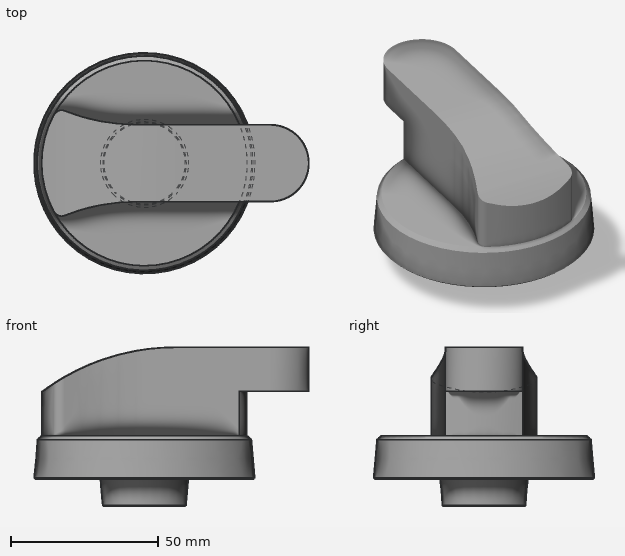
import cadquery as cq
import math

overall_length = 93.4
skirt_diameter = 75.0
skirt_radius = skirt_diameter / 2
skirt_height = 14.9
taper = math.tan(math.radians(5))
skirt_top_chamfer_height = 1.4
grip_circle_radius = 34.85
skirt_bottom_chamfer = 0.7

hub_radius = 14.95
hub_height = 9.1
hub_chamfer = 0.4

grip_height = 30.1
grip_half_width = 13.1
overhang_reach = overall_length - skirt_radius
overhang_thickness = grip_height / 2
thumb_start_x = 10.5
thumb_radius = 75.0
thumb_sweep = math.radians(40)
flare_start_x = -2.6
flare_radius = 65.9
flare_corner_radius = 3.0

grip_top = skirt_height + grip_height


def revolve_profile(points):
    return cq.Workplane("XZ").polyline(points).close().revolve(360, (0, 0, 0), (0, 1, 0))


def make_skirt():
    shoulder_z = skirt_height - skirt_top_chamfer_height
    shoulder_radius = skirt_radius - taper * (shoulder_z - skirt_bottom_chamfer)
    return revolve_profile([
        (0, 0),
        (skirt_radius - skirt_bottom_chamfer, 0),
        (skirt_radius, skirt_bottom_chamfer),
        (shoulder_radius, shoulder_z),
        (grip_circle_radius, skirt_height),
        (0, skirt_height),
    ])


def make_hub():
    tip_radius = hub_radius - taper * (hub_height - hub_chamfer)
    return revolve_profile([
        (0, 0),
        (hub_radius, 0),
        (tip_radius, hub_chamfer - hub_height),
        (tip_radius - hub_chamfer, -hub_height),
        (0, -hub_height),
    ])


def point_on_circle(center, radius, angle):
    return (center[0] + radius * math.cos(angle), center[1] + radius * math.sin(angle))


def mirrored(point):
    return (point[0], -point[1])


def make_stem():
    """Body of the grip: straight sides that flare toward -X, with both ends on the grip circle."""
    flare_center = (flare_start_x, grip_half_width + flare_radius)

    axis_to_corner = grip_circle_radius - flare_corner_radius
    flare_to_corner = flare_radius + flare_corner_radius
    axis_to_flare = math.hypot(*flare_center)
    angle_at_axis = math.acos(
        (axis_to_corner**2 + axis_to_flare**2 - flare_to_corner**2) / (2 * axis_to_corner * axis_to_flare)
    )
    corner_angle = math.atan2(flare_center[1], flare_center[0]) + angle_at_axis
    corner_center = point_on_circle((0, 0), axis_to_corner, corner_angle)
    to_flare_angle = math.atan2(flare_center[1] - corner_center[1], flare_center[0] - corner_center[0])

    flare_start = (flare_start_x, grip_half_width)
    flare_middle_angle = (to_flare_angle - math.pi - math.pi / 2) / 2
    flare_middle = point_on_circle(flare_center, flare_radius, flare_middle_angle)
    flare_end = point_on_circle(corner_center, flare_corner_radius, to_flare_angle)
    corner_middle = point_on_circle(corner_center, flare_corner_radius, (to_flare_angle + corner_angle) / 2)
    corner_end = point_on_circle((0, 0), grip_circle_radius, corner_angle)
    back_corner = (math.sqrt(grip_circle_radius**2 - grip_half_width**2), grip_half_width)

    return (
        cq.Workplane("XY", origin=(0, 0, skirt_height))
        .moveTo(*back_corner)
        .lineTo(*flare_start)
        .threePointArc(flare_middle, flare_end)
        .threePointArc(corner_middle, corner_end)
        .threePointArc((-grip_circle_radius, 0), mirrored(corner_end))
        .threePointArc(mirrored(corner_middle), mirrored(flare_end))
        .threePointArc(mirrored(flare_middle), mirrored(flare_start))
        .lineTo(*mirrored(back_corner))
        .threePointArc((grip_circle_radius, 0), back_corner)
        .close()
        .extrude(grip_height)
    )


def make_overhang():
    """Round-ended bar reaching past the skirt, level with the grip top."""
    round_x = overhang_reach - grip_half_width
    base = cq.Workplane("XY", origin=(0, 0, grip_top - overhang_thickness))
    bar = base.center(round_x / 2, 0).rect(round_x, 2 * grip_half_width).extrude(overhang_thickness)
    return bar.union(base.center(round_x, 0).circle(grip_half_width).extrude(overhang_thickness))


def make_thumb_cut():
    """Material above the convex slope that falls from the flat top toward -X."""
    half_angle = thumb_sweep / 2

    def slope_point(angle):
        return (
            thumb_start_x - thumb_radius * math.sin(angle),
            grip_top - thumb_radius * (1 - math.cos(angle)),
        )

    return (
        cq.Workplane("XZ")
        .moveTo(thumb_start_x, grip_top)
        .threePointArc(slope_point(half_angle), slope_point(thumb_sweep))
        .lineTo(slope_point(thumb_sweep)[0], grip_top)
        .close()
        .extrude(skirt_radius, both=True)
    )


grip = make_stem().union(make_overhang()).cut(make_thumb_cut())
result = make_skirt().union(make_hub()).union(grip).clean()